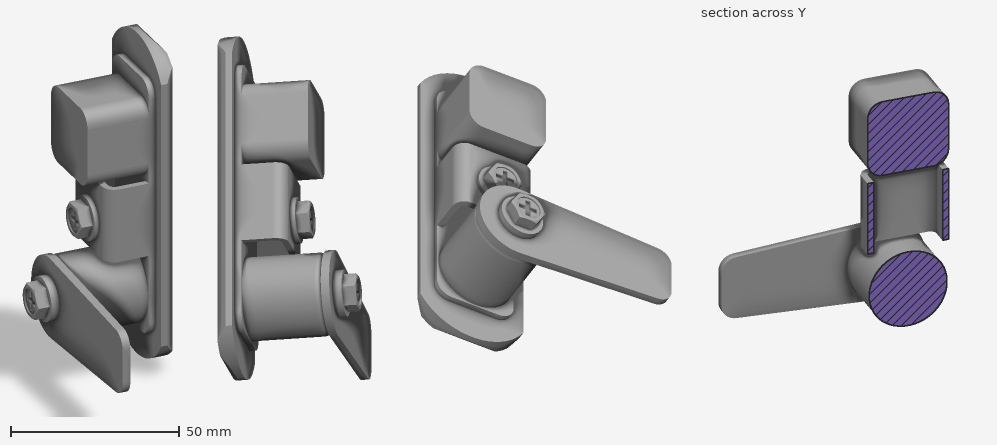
import cadquery as cq
import math

plate_length = 106.0
plate_width = 35.0
side_height = 86.4
plate_thickness = 5.0
plate_bevel = 3.0

pad_width = 26.0
pad_height = 84.0
pad_thickness = 2.0
corner_radius = 5.0
pad_front = plate_thickness + pad_thickness

block_height = 25.0
block_center_z = 23.3
block_depth = 20.0

bracket_height = 24.0
bracket_center_z = -2.9
bracket_depth = 13.5
bracket_bend_radius = 4.0
sheet_thickness = 2.0
bracket_screw_z = -5.0

barrel_diameter = 25.0
barrel_depth = 24.0
barrel_edge_radius = 2.0
barrel_z = -28.9

lever_hub_radius = 13.0
lever_reach = 52.0
lever_tip_width = 20.0
lever_thickness = 2.5
lever_tip_radius = 5.0

flange_diameter = 14.0
bracket_flange_thickness = 1.5
barrel_flange_thickness = 2.5
hex_across_flats = 10.0
hex_height = 3.9
trim_cone_height = 1.1
recess_diameter = 8.0
recess_depth = 0.5
cross_length = 6.0
cross_width = 1.6
cross_depth = 1.0


def at_depth(depth, z=0.0):
    """Workplane parallel to the plate, the given distance in front (-Y) of its back face."""
    return cq.Workplane("XZ", origin=(0, -depth, z))


def rounded_block(width, height, z, start, depth):
    block = at_depth(start, z).rect(width, height).extrude(depth)
    return block.edges("|Y").fillet(corner_radius)


def make_plate():
    half_width = plate_width / 2
    half_side = side_height / 2
    half_length = plate_length / 2
    outline = (
        at_depth(0)
        .moveTo(-half_width, -half_side)
        .threePointArc((0, -half_length), (half_width, -half_side))
        .lineTo(half_width, half_side)
        .threePointArc((0, half_length), (-half_width, half_side))
        .close()
    )
    bevelled_slab = at_depth(0).rect(plate_width, plate_length).extrude(plate_thickness)
    bevelled_slab = bevelled_slab.faces(">Y").chamfer(plate_bevel)
    return outline.extrude(plate_thickness).intersect(bevelled_slab)


def make_bracket():
    shell = at_depth(pad_front, bracket_center_z).rect(pad_width, bracket_height).extrude(bracket_depth)
    shell = shell.edges("|Z and <Y").fillet(bracket_bend_radius)
    inner_width = pad_width - 2 * sheet_thickness
    inner_depth = bracket_depth - sheet_thickness
    channel = at_depth(pad_front, bracket_center_z).rect(inner_width, bracket_height).extrude(inner_depth)
    channel = channel.edges("|Z and <Y").fillet(bracket_bend_radius - sheet_thickness)
    return shell.cut(channel)


def make_barrel():
    barrel = at_depth(pad_front, barrel_z).circle(barrel_diameter / 2).extrude(barrel_depth)
    return barrel.faces("<Y").edges().fillet(barrel_edge_radius)


def make_lever(start):
    """Hub circle joined to the tip by straight edges tangent to the hub."""
    half_tip = lever_tip_width / 2
    tip_distance = math.hypot(lever_reach, half_tip)
    tangent_angle = math.atan2(half_tip, lever_reach) + math.acos(lever_hub_radius / tip_distance)
    tangent_x = lever_hub_radius * math.cos(tangent_angle)
    tangent_z = lever_hub_radius * math.sin(tangent_angle)
    lever = (
        at_depth(start, barrel_z)
        .moveTo(tangent_x, tangent_z)
        .threePointArc((-lever_hub_radius, 0), (tangent_x, -tangent_z))
        .lineTo(lever_reach, -half_tip)
        .lineTo(lever_reach, half_tip)
        .close()
        .extrude(lever_thickness)
    )
    return lever.edges("|Y and >X").fillet(lever_tip_radius)


def make_screw(start, z, flange_thickness):
    flange = at_depth(start, z).circle(flange_diameter / 2).extrude(flange_thickness)

    head_start = start + flange_thickness
    head_front = head_start + hex_height
    hex_across_points = hex_across_flats / math.cos(math.pi / 6)
    head = at_depth(head_start, z).polygon(6, hex_across_points).extrude(hex_height)
    trim = at_depth(head_start, z).circle(flange_diameter / 2).extrude(hex_height)
    trim_cone_run = (flange_diameter - hex_across_flats) / 2
    trim = trim.faces("<Y").chamfer(trim_cone_height, trim_cone_run)
    head = head.intersect(trim)

    recess = at_depth(head_front, z).circle(recess_diameter / 2).extrude(-recess_depth)
    recess_floor = at_depth(head_front - recess_depth, z)
    cross = recess_floor.rect(cross_length, cross_width).extrude(-cross_depth)
    cross = cross.union(recess_floor.rect(cross_width, cross_length).extrude(-cross_depth))
    return flange.union(head).cut(recess).cut(cross)


bracket_front = pad_front + bracket_depth
barrel_front = pad_front + barrel_depth
lever_front = barrel_front + lever_thickness

result = make_plate()
result = result.union(rounded_block(pad_width, pad_height, 0, plate_thickness, pad_thickness))
result = result.union(rounded_block(pad_width, block_height, block_center_z, pad_front, block_depth))
result = result.union(make_bracket())
result = result.union(make_barrel())
result = result.union(make_lever(barrel_front))
result = result.union(make_screw(bracket_front, bracket_screw_z, bracket_flange_thickness))
result = result.union(make_screw(lever_front, barrel_z, barrel_flange_thickness))